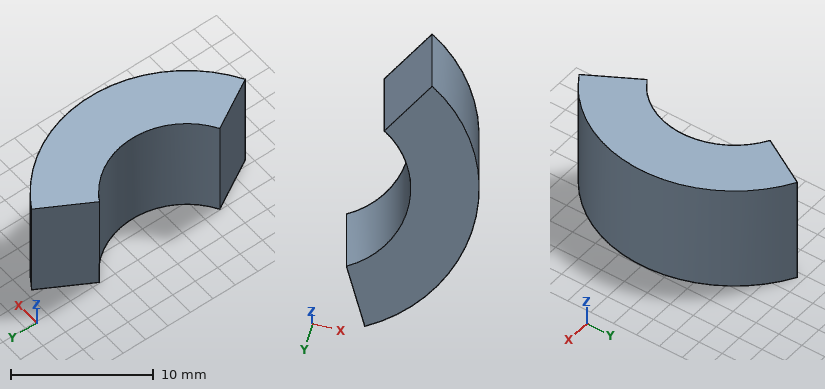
import cadquery as cq
import math

end_to_end = 19.05
sector_angle = 120.0
inner_radius = 6.2
height = 9.0

half_angle = math.radians(sector_angle / 2)
outer_radius = end_to_end / 2 / math.sin(half_angle)


def point_on_circle(radius, angle):
    """Point at the given radius and angle (radians) about the ring axis."""
    return (radius * math.cos(angle), radius * math.sin(angle))


result = (
    cq.Workplane("XY")
    .moveTo(*point_on_circle(outer_radius, -half_angle))
    .threePointArc((outer_radius, 0), point_on_circle(outer_radius, half_angle))
    .lineTo(*point_on_circle(inner_radius, half_angle))
    .threePointArc((inner_radius, 0), point_on_circle(inner_radius, -half_angle))
    .close()
    .extrude(height)
)